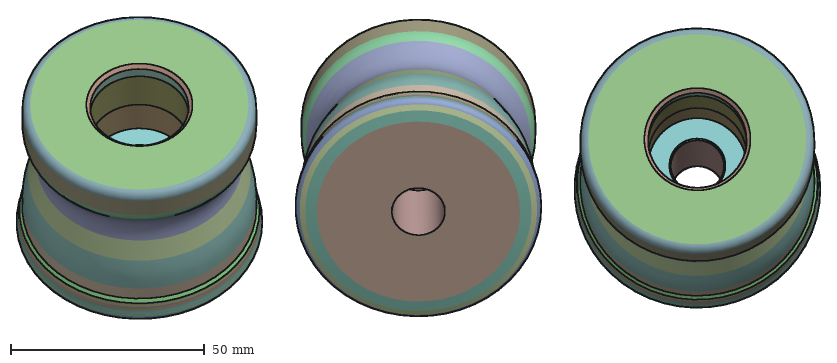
import cadquery as cq
import math


height = 50.8
lip_radius = 63.5 / 2
body_radius = 30.23

rim_fillet = 2.1
collar_blend = 4.8
waist_blend = 11.7
shoulder_blend = 30.0
taper_slope = 1 / 3
band_top = 12.8
taper_top = 28.15

skirt_top = 8.65
flare_bottom = 7.65
flare_round_bottom = 7.2
skirt_draft = math.tan(math.radians(10))
flare_slope = math.tan(math.radians(37))
ridge_round = 0.23
upper_ridge_bottom = 6.52
groove_bottom = 5.4
lower_ridge_top = 4.95
lower_ridge_bottom = 4.05
lip_top = 3.15
groove_draft_ratio = 0.5
lower_flare_draft_ratio = 1.5
round_bow = 0.01
flare_bow = 0.02
hollow_bow = -0.015
lip_round = 1.9
lip_end_angle = math.radians(65)
sole_edge = (29.2, 0.5)
sole_radius = 26.2

bore_radius = 12.7
bore_depth = 25.4
bore_chamfer = 1.0
hole_radius = 6.85
hole_chamfer = 0.4
sleeve_top = height - 4.0
sleeve_length = 11.6
sleeve_wall = 3.175


def arc_point(centre, radius, angle):
    """Point (radius from the axis, z) on a circle; the angle runs up from the outward direction."""
    return (centre[0] + radius * math.cos(angle), centre[1] + radius * math.sin(angle))


def bowed_mid(start, end, bow):
    """Middle of an arc from start to end, moved outward by bow (inward when negative)."""
    return ((start[0] + end[0]) / 2 + bow, (start[1] + end[1]) / 2)


def add_skirt(outline):
    """Skirt from the edge of the hole, across the sole and up to the foot of the band."""
    draft_angle = math.atan(skirt_draft)
    lip_centre = (lip_radius - lip_round, lip_top - lip_round * math.sin(draft_angle))
    lip_start = arc_point(lip_centre, lip_round, -lip_end_angle)
    lip_mid = arc_point(lip_centre, lip_round, 0)
    lip_end = arc_point(lip_centre, lip_round, draft_angle)

    lower_round_z = lower_ridge_bottom - ridge_round
    lower_wall = (lip_end[0] - (lower_round_z - lip_top) * skirt_draft, lower_round_z)
    lower_round = (lower_wall[0] - ridge_round * skirt_draft, lower_ridge_bottom)
    lower_flare_slope = lower_flare_draft_ratio * skirt_draft
    lower_flare = (
        lower_round[0] - (lower_ridge_top - lower_ridge_bottom) * lower_flare_slope,
        lower_ridge_top,
    )

    upper_round_z = upper_ridge_bottom - ridge_round
    groove_start = (lower_flare[0] - (groove_bottom - lower_ridge_top) * skirt_draft, groove_bottom)
    groove_slope = groove_draft_ratio * skirt_draft
    groove_end = (groove_start[0] - (upper_round_z - groove_bottom) * groove_slope, upper_round_z)
    upper_wall = (groove_end[0] - ridge_round * groove_slope, upper_ridge_bottom)
    flare_end = (body_radius, skirt_top)
    flare_start = (body_radius + (skirt_top - flare_bottom) * flare_slope, flare_bottom)
    flare_round = (
        upper_wall[0] - (flare_round_bottom - upper_ridge_bottom) * skirt_draft,
        flare_round_bottom,
    )

    return (
        outline.lineTo(sole_radius, 0)
        .lineTo(*sole_edge)
        .lineTo(*lip_start)
        .threePointArc(lip_mid, lip_end)
        .lineTo(*lower_wall)
        .threePointArc(bowed_mid(lower_wall, lower_round, round_bow), lower_round)
        .threePointArc(bowed_mid(lower_round, lower_flare, hollow_bow), lower_flare)
        .lineTo(*groove_start)
        .threePointArc(bowed_mid(groove_start, groove_end, hollow_bow), groove_end)
        .threePointArc(bowed_mid(groove_end, upper_wall, round_bow), upper_wall)
        .lineTo(*flare_round)
        .threePointArc(bowed_mid(flare_round, flare_start, flare_bow), flare_start)
        .lineTo(*flare_end)
    )


def add_waist_and_collar(outline):
    """Band, shoulder, taper, waist and collar, every stretch tangent to the next."""
    taper_angle = math.atan(taper_slope)

    shoulder_centre = (body_radius - shoulder_blend, band_top)
    shoulder_mid = arc_point(shoulder_centre, shoulder_blend, taper_angle / 2)
    shoulder_end = arc_point(shoulder_centre, shoulder_blend, taper_angle)

    taper_end = (shoulder_end[0] - (taper_top - shoulder_end[1]) * taper_slope, taper_top)
    waist_centre = arc_point(taper_end, waist_blend, taper_angle)

    centre_gap = waist_blend + collar_blend
    collar_centre_radius = body_radius - collar_blend
    join_angle = math.acos((waist_centre[0] - collar_centre_radius) / centre_gap)
    collar_centre = (collar_centre_radius, waist_centre[1] + centre_gap * math.sin(join_angle))
    waist_mid = arc_point(waist_centre, waist_blend, math.pi)
    waist_end = arc_point(waist_centre, waist_blend, math.pi - join_angle)
    collar_mid = arc_point(collar_centre, collar_blend, -join_angle / 2)

    rim_centre = (body_radius - rim_fillet, height - rim_fillet)
    rim_mid = arc_point(rim_centre, rim_fillet, math.pi / 4)

    return (
        outline.lineTo(body_radius, band_top)
        .threePointArc(shoulder_mid, shoulder_end)
        .lineTo(*taper_end)
        .threePointArc(waist_mid, waist_end)
        .threePointArc(collar_mid, (body_radius, collar_centre[1]))
        .lineTo(body_radius, rim_centre[1])
        .threePointArc(rim_mid, (rim_centre[0], height))
    )


def make_bumper():
    floor_z = height - bore_depth
    outline = cq.Workplane("XZ").moveTo(hole_radius, 0)
    outline = add_skirt(outline)
    outline = add_waist_and_collar(outline)
    outline = (
        outline.lineTo(bore_radius + bore_chamfer, height)
        .lineTo(bore_radius, height - bore_chamfer)
        .lineTo(bore_radius, sleeve_top)
        .lineTo(bore_radius + sleeve_wall, sleeve_top)
        .lineTo(bore_radius + sleeve_wall, sleeve_top - sleeve_length)
        .lineTo(bore_radius, sleeve_top - sleeve_length)
        .lineTo(bore_radius, floor_z)
        .lineTo(hole_radius + hole_chamfer, floor_z)
        .lineTo(hole_radius, floor_z - hole_chamfer)
        .close()
    )
    return outline.revolve(360, (0, 0, 0), (0, 1, 0))


def make_sleeve():
    """Ring whose inner face is flush with the bore."""
    return (
        cq.Workplane("XY")
        .workplane(offset=sleeve_top - sleeve_length)
        .circle(bore_radius + sleeve_wall)
        .circle(bore_radius)
        .extrude(sleeve_length)
    )


bumper = make_bumper()
sleeve = make_sleeve()

result = cq.Compound.makeCompound([bumper.val(), sleeve.val()])